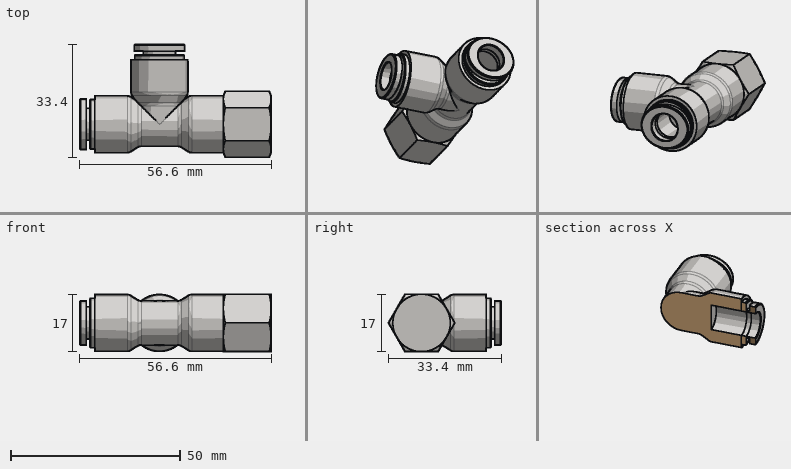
import cadquery as cq
import math


arm_reach = 23.6
flange_thickness = 2.0
neck_length = 1.0
collar_thickness = 1.5
collar_face = arm_reach - flange_thickness - neck_length
housing_face = collar_face - collar_thickness

flange_length = 15.0
flange_width = 13.1
neck_diameter = 9.6
collar_diameter = 14.7
tube_diameter = 8.2
edge_chamfer = 0.3
tube_entry_chamfer = 0.2

sleeve_diameter = 16.9
hub_diameter = 13.1
shoulder_start = 6.0
shoulder_end = 9.0
shoulder_blend = 1.9
tube_stop = 9.5

hex_flats = 17.0
hex_corners = hex_flats / math.cos(math.pi / 6)
hex_length = 14.1
hex_start = 18.9
hex_chamfer_angle = math.radians(23)
hex_chamfer_length = (hex_corners - hex_flats) / 2 * math.tan(hex_chamfer_angle)

run_turn = 180
branch_turn = 90
port_turns = (run_turn, branch_turn)


def along_arm(distance):
    """Plane across the +X axis, facing outward, with its own x axis along Y."""
    return cq.Workplane(cq.Plane(origin=(distance, 0, 0), xDir=(0, 1, 0), normal=(1, 0, 0)))


def turned(body, turn):
    return body.rotate((0, 0, 0), (0, 0, 1), turn)


def make_arm(length):
    """Solid arm along +X: hub, conical shoulder with blended ends, then sleeve."""
    hub_radius = hub_diameter / 2
    sleeve_radius = sleeve_diameter / 2
    profile = (
        cq.Workplane("XY")
        .moveTo(0, 0)
        .lineTo(0, hub_radius)
        .lineTo(shoulder_start, hub_radius)
        .lineTo(shoulder_end, sleeve_radius)
        .lineTo(length, sleeve_radius)
        .lineTo(length, 0)
        .close()
    )
    arm = profile.revolve(360, (0, 0, 0), (1, 0, 0))
    margin = shoulder_blend / 2
    shoulder_edges = cq.selectors.BoxSelector(
        (shoulder_start - margin, -sleeve_diameter, -sleeve_diameter),
        (shoulder_end + margin, sleeve_diameter, sleeve_diameter),
        boundingbox=True,
    )
    return arm.edges("%CIRCLE").edges(shoulder_edges).fillet(shoulder_blend)


def make_tube_bore():
    return along_arm(tube_stop).circle(tube_diameter / 2).extrude(housing_face - tube_stop)


def make_housing():
    housing = make_arm(hex_start)
    for turn in port_turns:
        housing = housing.union(turned(make_arm(housing_face), turn))
    for turn in port_turns:
        housing = housing.cut(turned(make_tube_bore(), turn))
    return housing


def make_collar():
    collar = along_arm(housing_face).circle(collar_diameter / 2).extrude(collar_thickness)
    collar = collar.faces(">X").chamfer(edge_chamfer)
    bore = along_arm(housing_face).circle(tube_diameter / 2).extrude(collar_thickness)
    return collar.cut(bore)


def make_release_ring():
    """Oval push flange on a round neck that stands on the collar face."""
    neck = along_arm(collar_face).circle(neck_diameter / 2).extrude(neck_length)
    flange_face = collar_face + neck_length
    flange = along_arm(flange_face).ellipse(flange_length / 2, flange_width / 2).extrude(flange_thickness)
    flange = flange.faces(">X").chamfer(edge_chamfer)
    ring = neck.union(flange)
    bore = along_arm(collar_face).circle(tube_diameter / 2).extrude(neck_length + flange_thickness)
    ring = ring.cut(bore)
    entry_edge = ring.faces(">X").edges("%CIRCLE")
    return entry_edge.chamfer(tube_entry_chamfer)


def make_hex_end():
    """Hexagonal bar with flats facing +Z and -Z, its corners bevelled at both ends."""
    hex_bar = along_arm(hex_start).polygon(6, hex_corners).extrude(hex_length)
    hex_end = hex_start + hex_length
    flat_radius = hex_flats / 2
    corner_radius = hex_corners / 2
    envelope = (
        cq.Workplane("XY")
        .moveTo(hex_start, 0)
        .lineTo(hex_start, flat_radius)
        .lineTo(hex_start + hex_chamfer_length, corner_radius)
        .lineTo(hex_end - hex_chamfer_length, corner_radius)
        .lineTo(hex_end, flat_radius)
        .lineTo(hex_end, 0)
        .close()
        .revolve(360, (0, 0, 0), (1, 0, 0))
    )
    return hex_bar.intersect(envelope)


housing = make_housing()
hex_end = make_hex_end()
collars = [turned(make_collar(), turn) for turn in port_turns]
release_rings = [turned(make_release_ring(), turn) for turn in port_turns]

result = cq.Compound.makeCompound(
    [
        housing.val(),
        hex_end.val(),
        *[collar.val() for collar in collars],
        *[ring.val() for ring in release_rings],
    ]
)